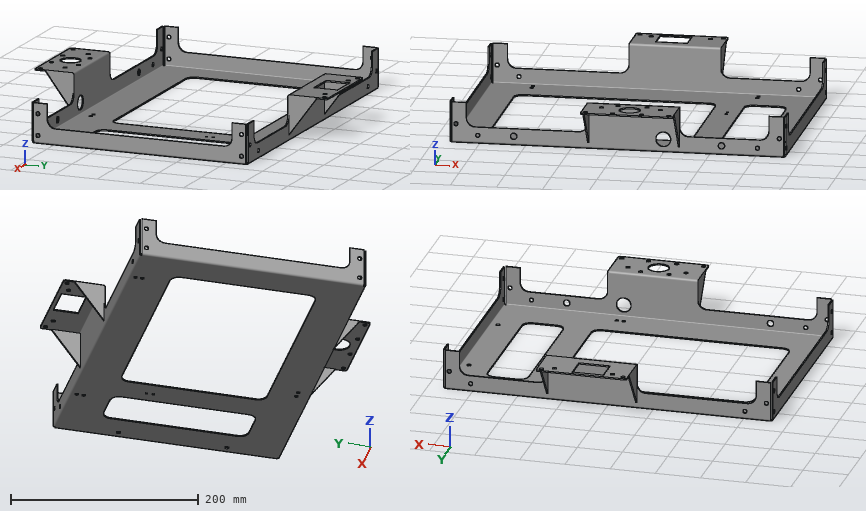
import cadquery as cq
import math

LENGTH = 365.0
WIDTH = 250.5
TOTAL_DEPTH = 339.0
HEIGHT = 51.0

SHEET = 1.5
INNER_BEND = 1.0
OUTER_BEND = SHEET + INNER_BEND

RIM_HEIGHT = 18.2
POST_HEIGHT = 45.0
FRONT_POST_EDGE = 164.2
SIDE_POST_EDGE = 107.0
CORNER_RADIUS = 10.0

BRACKET_CENTER = 17.5
BRACKET_WIDTH = 100.0
BRACKET_CORNER = 2.5
BRACKET_LEFT = BRACKET_CENTER - BRACKET_WIDTH / 2
BRACKET_RIGHT = BRACKET_CENTER + BRACKET_WIDTH / 2
GUSSET_REACH = 31.8
GUSSET_BOTTOM = 7.0

FLOOR_WINDOWS = [(-148.0, 71.0), (102.2, 148.0)]
FLOOR_WINDOW_DEPTH = 160.5

SCREW_HOLE = 4.5
PAIR_HOLE = 3.5
PIN_HOLE = 2.5
WIRE_HOLE = 7.0
CABLE_HOLE = 16.0
SENSOR_HOLE = 22.5

PAIR_PITCH = 7.5
BACK_PAIRS_X = [-135.5, 109.5]
BACK_PAIRS_Y = 114.0
FRONT_PAIR = (49.5, -110.2)
PIN_PAIR = (88.7, 42.5)
FLOOR_SCREWS = [(172.5, 54.8), (172.5, -65.0)]

FRONT_WALL_SCREWS = [(175.5, 20.8), (152.0, 9.0)]
WIRE_HOLE_PLACE = (112.8, 10.0)
CABLE_HOLE_PLACE = (49.5, 14.2)
SIDE_WALL_SCREWS = [(118.0, 33.2), (118.0, 9.0)]

BRACKET_OUTER_SCREW_X = 45.3
BRACKET_OUTER_SCREW_Y = 164.5
BRACKET_INNER_SCREW_X = 32.0
BACK_INNER_SCREW_Y = 159.5
FRONT_INNER_SCREW_Y = 141.5
SENSOR_Y = 148.5
SENSOR_SCREW_X = 15.7
SENSOR_SCREW_Y = 15.7
BRACKET_WINDOW_LEFT = -6.0
BRACKET_WINDOW_RIGHT = 28.5
BRACKET_WINDOW_INNER_Y = 137.5
BRACKET_WINDOW_OUTER_Y = 165.0

ARC_MID = math.sqrt(0.5)


def vertical_holes(places, diameter):
    """Cutters along Z, tall enough to cross the whole part."""
    return cq.Workplane("XY").pushPoints(places).circle(diameter / 2).extrude(HEIGHT)


def y_holes(places, diameter, y_start, length):
    """Cutters along +Y at (x, z) places."""
    plane = cq.Workplane("XZ", origin=(0, y_start, 0))
    return plane.pushPoints(places).circle(diameter / 2).extrude(-length)


def mirrored(places):
    """Each (u, v) place together with its mirror image (-u, v)."""
    return [(side * u, v) for u, v in places for side in (-1, 1)]


def wall_section(outer):
    """Bend and upright wall in the YZ plane, with the wall's outer face at Y = outer."""
    tangent = outer - OUTER_BEND
    return (
        cq.Workplane("YZ")
        .moveTo(tangent, 0)
        .threePointArc((tangent + OUTER_BEND * ARC_MID, OUTER_BEND * (1 - ARC_MID)), (outer, OUTER_BEND))
        .lineTo(outer, POST_HEIGHT)
        .lineTo(outer - SHEET, POST_HEIGHT)
        .lineTo(outer - SHEET, OUTER_BEND)
        .threePointArc((tangent + INNER_BEND * ARC_MID, OUTER_BEND - INNER_BEND * ARC_MID), (tangent, SHEET))
        .close()
    )


def rim_notch(left, right, depth):
    """Cutter between two uprights, rounded at its lower corners and open at the top."""
    return (
        cq.Workplane("XZ")
        .rect(right - left, 2 * (POST_HEIGHT - RIM_HEIGHT))
        .extrude(-depth)
        .edges("|Y")
        .fillet(CORNER_RADIUS)
        .translate(((left + right) / 2, 0, POST_HEIGHT))
    )


def bent_wall(outer, span, notches):
    """Wall on the +Y side, centred on X, with rim notches given as (left, right)."""
    wall = wall_section(outer).extrude(span / 2, both=True)
    for left, right in notches:
        wall = wall.cut(rim_notch(left, right, outer))
    return wall


def bracket():
    """Back bracket: lip above the wall, bend, top plate and two triangular gussets."""
    wall_outer = WIDTH / 2
    wall_inner = wall_outer - SHEET
    tangent_y = wall_inner + OUTER_BEND
    tangent_z = HEIGHT - OUTER_BEND
    plate_end = TOTAL_DEPTH / 2
    plate_bottom = HEIGHT - SHEET
    plate_middle = HEIGHT - SHEET / 2
    section = (
        cq.Workplane("YZ", origin=(BRACKET_LEFT, 0, 0))
        .moveTo(wall_outer, POST_HEIGHT)
        .lineTo(wall_inner, POST_HEIGHT)
        .lineTo(wall_inner, tangent_z)
        .threePointArc(
            (tangent_y - OUTER_BEND * ARC_MID, tangent_z + OUTER_BEND * ARC_MID), (tangent_y, HEIGHT)
        )
        .lineTo(plate_end, HEIGHT)
        .lineTo(plate_end, plate_bottom)
        .lineTo(tangent_y, plate_bottom)
        .threePointArc(
            (tangent_y - INNER_BEND * ARC_MID, tangent_z + INNER_BEND * ARC_MID), (wall_outer, tangent_z)
        )
        .close()
    )
    body = section.extrude(BRACKET_WIDTH).edges("|Z and >Y").fillet(BRACKET_CORNER)
    for x in (BRACKET_LEFT, BRACKET_RIGHT - SHEET):
        gusset = (
            cq.Workplane("YZ", origin=(x, 0, 0))
            .moveTo(wall_inner, GUSSET_BOTTOM)
            .lineTo(wall_outer, GUSSET_BOTTOM)
            .lineTo(wall_outer + GUSSET_REACH, plate_bottom)
            .lineTo(wall_outer + GUSSET_REACH, plate_middle)
            .lineTo(tangent_y, plate_middle)
            .lineTo(wall_inner, tangent_z)
            .close()
            .extrude(SHEET)
        )
        body = body.union(gusset)
    return body


def floor():
    """Flat floor up to the bend tangents, with its rounded windows."""
    plate = cq.Workplane("XY").box(
        LENGTH - 2 * OUTER_BEND, WIDTH - 2 * OUTER_BEND, SHEET, centered=(True, True, False)
    )
    for left, right in FLOOR_WINDOWS:
        window = (
            cq.Workplane("XY")
            .center((left + right) / 2, 0)
            .rect(right - left, FLOOR_WINDOW_DEPTH)
            .extrude(SHEET)
            .edges("|Z")
            .fillet(CORNER_RADIUS)
        )
        plate = plate.cut(window)
    return plate


long_span = LENGTH - 2 * OUTER_BEND
short_span = WIDTH - 2 * OUTER_BEND
back_wall = bent_wall(
    WIDTH / 2, long_span, [(-FRONT_POST_EDGE, BRACKET_LEFT), (BRACKET_RIGHT, FRONT_POST_EDGE)]
)
back_side = back_wall.union(bracket())
right_wall = bent_wall(LENGTH / 2, short_span, [(-SIDE_POST_EDGE, SIDE_POST_EDGE)]).rotate(
    (0, 0, 0), (0, 0, 1), -90
)
result = (
    floor()
    .union(back_side)
    .union(back_side.mirror("XZ"))
    .union(right_wall)
    .union(right_wall.mirror("YZ"))
)

half_pitch = PAIR_PITCH / 2
pair_places = [(x, BACK_PAIRS_Y + dy) for x in BACK_PAIRS_X for dy in (-half_pitch, half_pitch)]
pair_places += [(FRONT_PAIR[0] + dx, FRONT_PAIR[1]) for dx in (-half_pitch, half_pitch)]
pin_places = [(PIN_PAIR[0], PIN_PAIR[1] + dy) for dy in (-half_pitch, half_pitch)]
result = result.cut(vertical_holes(pair_places, PAIR_HOLE))
result = result.cut(vertical_holes(pin_places, PIN_HOLE))
result = result.cut(vertical_holes(FLOOR_SCREWS, SCREW_HOLE))

result = result.cut(y_holes(mirrored(FRONT_WALL_SCREWS), SCREW_HOLE, -WIDTH / 2, WIDTH))
result = result.cut(y_holes(mirrored([WIRE_HOLE_PLACE]), WIRE_HOLE, -WIDTH / 2, OUTER_BEND))
result = result.cut(y_holes([CABLE_HOLE_PLACE], CABLE_HOLE, -WIDTH / 2, OUTER_BEND))
side_screws = (
    cq.Workplane("YZ")
    .pushPoints(mirrored(SIDE_WALL_SCREWS))
    .circle(SCREW_HOLE / 2)
    .extrude(LENGTH / 2, both=True)
)
result = result.cut(side_screws)

bracket_screws = [
    (BRACKET_CENTER + dx, y)
    for dx, y in mirrored(
        [
            (BRACKET_OUTER_SCREW_X, BRACKET_OUTER_SCREW_Y),
            (BRACKET_OUTER_SCREW_X, -BRACKET_OUTER_SCREW_Y),
            (BRACKET_INNER_SCREW_X, BACK_INNER_SCREW_Y),
            (BRACKET_INNER_SCREW_X, -FRONT_INNER_SCREW_Y),
            (SENSOR_SCREW_X, -SENSOR_Y - SENSOR_SCREW_Y),
            (SENSOR_SCREW_X, -SENSOR_Y + SENSOR_SCREW_Y),
        ]
    )
]
result = result.cut(vertical_holes(bracket_screws, SCREW_HOLE))
result = result.cut(vertical_holes([(BRACKET_CENTER, -SENSOR_Y)], SENSOR_HOLE))
bracket_window = (
    cq.Workplane("XY")
    .moveTo(BRACKET_WINDOW_LEFT, BRACKET_WINDOW_INNER_Y)
    .lineTo(BRACKET_WINDOW_RIGHT, BRACKET_WINDOW_INNER_Y)
    .lineTo(BRACKET_WINDOW_RIGHT, BRACKET_WINDOW_OUTER_Y)
    .lineTo(BRACKET_WINDOW_LEFT, BRACKET_WINDOW_OUTER_Y)
    .close()
    .extrude(HEIGHT)
)
result = result.cut(bracket_window)